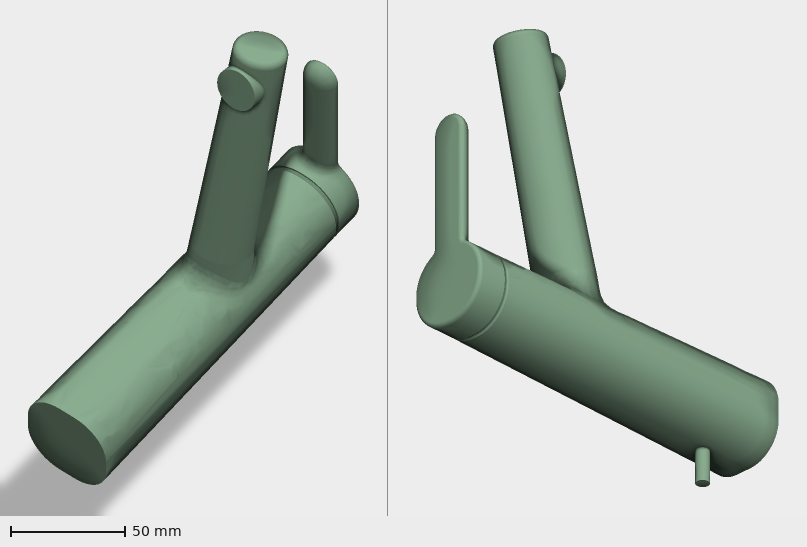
import cadquery as cq
import math

total_length = 183.8
front_size = 43.0
front_corner = 17.5
back_size = 40.5
back_corner = 19.3
barrel_length = 167.0
barrel_chamfer = 0.7

neck_length = 1.7
neck_inset = 1.0
neck_size = back_size - 2 * neck_inset
neck_corner = back_corner - neck_inset

lever_width = 17.3
lever_depth = 8.5
lever_corner = 7.0
lever_tip_center_z = 76.1
lever_root_fillet = 3.3
handle_edge_fillet = 1.8
cap_start = barrel_length + neck_length

pick_margin = 1.0

spout_tilt = 14.2
spout_foot_y = 103.3
spout_length = 145.2
spout_foot_radius = 29.6 / 2
spout_tip_radius = 12.3
spout_tip_fillet = 3.0
spout_root_fillet = 9.2

root_length = 30.9
root_base_y = 107.4
root_base_z = 3.7
root_base_radius = 16.4

outlet_radius = 20.4 / 2
outlet_below_tip = 16.4
outlet_face_offset = 14.5
outlet_seat_offset = 6.5

pin_radius = 6.5 / 2
pin_y = 25.5
pin_bottom_z = -37.7
pin_insertion = 3.7
pin_top_z = pin_insertion - front_size / 2


def rounded_square(size, corner):
    return cq.Sketch().rect(size, size).vertices().fillet(corner)


def xz_plane(y):
    """XZ plane at the given y, with its normal along +Y."""
    return cq.Plane(origin=(0, y, 0), xDir=(1, 0, 0), normal=(0, 1, 0))


def make_outlet():
    lean = math.radians(spout_tilt)
    distance = spout_length - outlet_below_tip
    outward_y = -math.cos(lean)
    outward_z = math.sin(lean)
    center_y = spout_foot_y + distance * math.sin(lean)
    center_z = distance * math.cos(lean)
    seat = cq.Plane(
        origin=(
            0,
            center_y + outlet_seat_offset * outward_y,
            center_z + outlet_seat_offset * outward_z,
        ),
        xDir=(1, 0, 0),
        normal=(0, outward_y, outward_z),
    )
    return cq.Workplane(seat).circle(outlet_radius).extrude(outlet_face_offset - outlet_seat_offset)


def make_pin():
    return (
        cq.Workplane("XY", origin=(0, pin_y, pin_bottom_z))
        .circle(pin_radius)
        .extrude(pin_top_z - pin_bottom_z)
    )


def make_spout_sections():
    """The flared root and the tapered tube above it, meeting at a common circle."""
    lean = math.radians(spout_tilt)
    axis = cq.Vector(0, math.sin(lean), math.cos(lean))
    root_top = cq.Vector(0, spout_foot_y, 0) + axis * root_length
    root_top_radius = spout_foot_radius - (spout_foot_radius - spout_tip_radius) * root_length / spout_length
    base_circle = cq.Wire.makeCircle(
        root_base_radius, cq.Vector(0, root_base_y, root_base_z), cq.Vector(0, 0, 1)
    )
    top_circle = cq.Wire.makeCircle(root_top_radius, root_top, axis)
    root = cq.Workplane(cq.Solid.makeLoft([base_circle, top_circle], True))
    cone = cq.Solid.makeCone(
        root_top_radius, spout_tip_radius, spout_length - root_length, root_top, axis
    )
    tube = cq.Workplane(cone).edges(">Z").fillet(spout_tip_fillet)
    return root, tube


def make_barrel(outlet, pin):
    """Barrel with its spout, recessed for the outlet and the pin."""
    barrel = (
        cq.Workplane(xz_plane(0))
        .placeSketch(
            rounded_square(front_size, front_corner),
            rounded_square(back_size, back_corner).moved(cq.Location(cq.Vector(0, 0, barrel_length))),
        )
        .loft()
    )
    barrel = barrel.faces(">Y").chamfer(barrel_chamfer)
    root, tube = make_spout_sections()
    barrel = barrel.union(root)
    root_box = cq.selectors.BoxSelector(
        (-front_size / 2, spout_foot_y - front_size / 2, root_base_z - pick_margin),
        (front_size / 2, spout_foot_y + front_size / 2, front_size / 2 + pick_margin),
        boundingbox=True,
    )
    barrel = barrel.edges(root_box).fillet(spout_root_fillet)
    return barrel.union(tube).cut(outlet).cut(pin)


def make_neck():
    return (
        cq.Workplane(xz_plane(barrel_length))
        .placeSketch(rounded_square(neck_size, neck_corner))
        .extrude(neck_length)
    )


def make_lever():
    """Upright bar with rounded front corners, ending in the same profile revolved."""
    half_width = lever_width / 2
    front_y = total_length - lever_depth
    bar = (
        cq.Workplane("XY")
        .center(0, total_length - lever_depth / 2)
        .rect(lever_width, lever_depth)
        .extrude(lever_tip_center_z)
        .edges("|Z and <Y")
        .fillet(lever_corner)
    )
    tip = (
        cq.Workplane("XY", origin=(0, 0, lever_tip_center_z))
        .moveTo(0, total_length)
        .lineTo(half_width, total_length)
        .lineTo(half_width, front_y + lever_corner)
        .radiusArc((half_width - lever_corner, front_y), lever_corner)
        .lineTo(0, front_y)
        .close()
        .revolve(360, (0, 0, 0), (0, 1, 0))
    )
    return bar.union(tip)


def make_handle():
    cap = (
        cq.Workplane(xz_plane(cap_start))
        .placeSketch(rounded_square(back_size, back_corner))
        .extrude(total_length - cap_start)
    )
    handle = cap.union(make_lever())
    root_box = cq.selectors.BoxSelector(
        (-lever_width, cap_start + pick_margin, back_size / 4),
        (lever_width, total_length - pick_margin, back_size / 2 + pick_margin),
    )
    handle = handle.edges(root_box).fillet(lever_root_fillet)
    return handle.faces(">Y").edges().fillet(handle_edge_fillet)


outlet = make_outlet()
pin = make_pin()
barrel = make_barrel(outlet, pin)
neck = make_neck()
handle = make_handle()

result = cq.Compound.makeCompound([barrel.val(), outlet.val(), neck.val(), handle.val(), pin.val()])